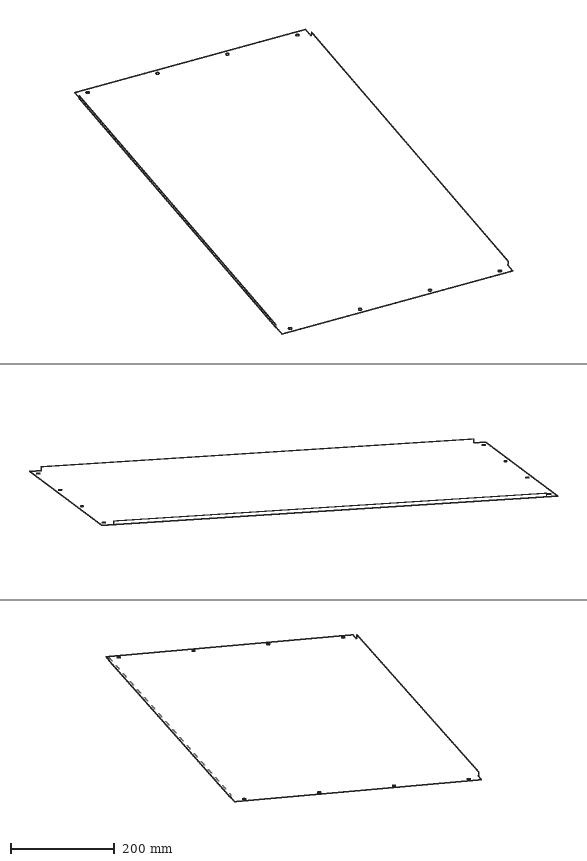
import cadquery as cq

length = 917.0
width = 499.0
height = 8.0
sheet = 1.0
bend_inner_radius = 1.0
bend_outer_radius = bend_inner_radius + sheet

plate_width = width - 2 * bend_outer_radius

flange_setback = 23.5
flange_length = length - 2 * flange_setback

hole_diameter = 6.5
hole_edge_distance = 10.6
holes_per_side = 4
hole_pitch = 150.0


def make_block(size_x, size_y, size_z, base_z=0.0):
    """Box centred on the Z axis, standing on the given level."""
    base = cq.Workplane("XY", origin=(0, 0, base_z))
    return base.box(size_x, size_y, size_z, centered=(True, True, False))


def make_flanged_middle():
    """Shallow channel: the middle of the panel with both flanges and their bends."""
    outer = make_block(flange_length, width, height)
    outer = outer.edges("|X and <Z").fillet(bend_outer_radius)
    cavity = make_block(flange_length, width - 2 * sheet, height, base_z=sheet)
    cavity = cavity.edges("|X and <Z").fillet(bend_inner_radius)
    return outer.cut(cavity)


def make_mounting_holes():
    """Through-hole cutters, evenly pitched along both short edges."""
    column_spacing = length - 2 * hole_edge_distance
    return (
        cq.Workplane("XY")
        .rarray(column_spacing, hole_pitch, 2, holes_per_side)
        .circle(hole_diameter / 2)
        .extrude(sheet)
    )


plate = make_block(length, plate_width, sheet)
panel = plate.union(make_flanged_middle()).clean()
result = panel.cut(make_mounting_holes())